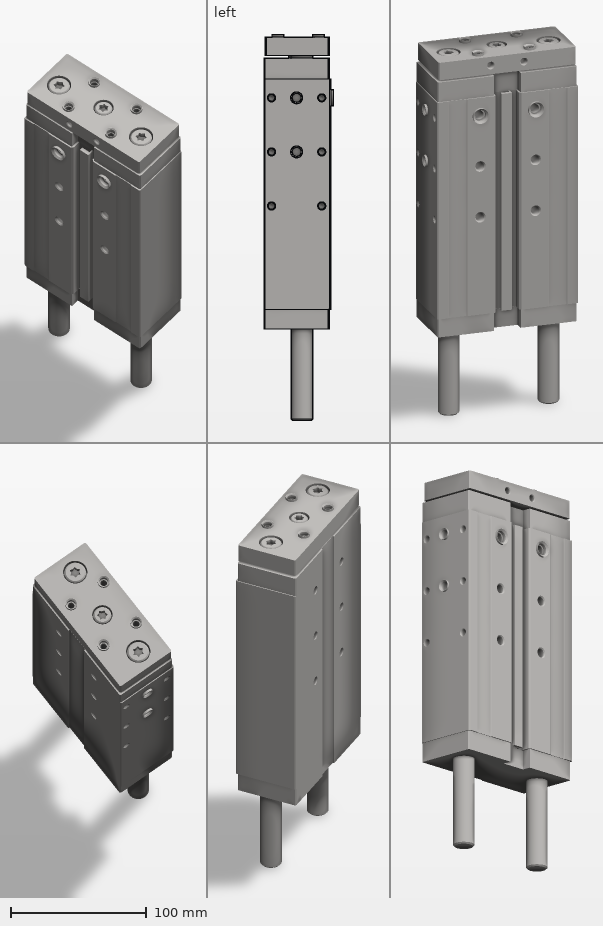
import cadquery as cq
import math

rod_reach = 67.5
bottom_cap_height = 14.5
profile_height = 170.0
top_cap_height = 15.5
yoke_gap = 1.7
yoke_height = 13.7
sleeve_rise = 2.0
port_sleeve_rise = 1.7
profile_bottom = rod_reach + bottom_cap_height
profile_top = profile_bottom + profile_height
housing_top = profile_top + top_cap_height
yoke_bottom = housing_top + yoke_gap
yoke_top = yoke_bottom + yoke_height

cap_width = 108.8
cap_depth = 48.0
housing_chamfer = 0.9
profile_width = 110.2
profile_front_rise = 1.0
cap_front = -cap_depth / 2
profile_front = cap_front - profile_front_rise
profile_side = profile_width / 2

cap_groove_width = 20.8
profile_groove_width = 18.2
cap_groove_depth = 6.8
profile_groove_depth = 7.5
front_groove_bevel = 1.5
back_groove_width = 19.0
back_groove_depth = 1.0
hook_left = -4.0
hook_width = 8.0
hook_setback = 1.5
hook_arm_thickness = 2.8
hook_neck_width = 1.0
rail_recess_center = 39.0
rail_recess_width = 15.0
rail_recess_depth = 0.5
rail_recess_bevel = 0.9

guide_rod_diameter = 16.0
guide_rod_spacing = 78.0
guide_rod_y = -4.0
guide_rod_chamfer = 1.0
piston_rod_diameter = 12.0
piston_rod_insertion = 85.5

yoke_width = 107.0
yoke_depth = 47.3
yoke_chamfer = 0.9
guide_counterbore_diameter = 18.0
guide_screw_head_diameter = 16.0
guide_socket_radius = 4.3
piston_counterbore_diameter = 15.0
piston_screw_head_diameter = 13.0
piston_socket_radius = 4.0
counterbore_depth = 8.5
screw_head_height = 8.3
screw_head_chamfer = 1.0
socket_depth = 4.0
socket_tips = 6
guide_tip_angle = 90
piston_tip_angle = 0
socket_valley_ratio = 0.7
yoke_sleeve_spacing_x = 40.2
yoke_sleeve_spacing_y = 30.0
yoke_sleeve_center_y = -1.0

small_sleeve_outer = 8.8
small_sleeve_inner = 6.5
large_sleeve_outer = 12.0
large_sleeve_inner = 8.8
sleeve_rim = 0.15
sleeve_seat = 2.0

row_pitch = 40.0
first_row_z = 238.0
row_heights = [first_row_z - i * row_pitch for i in range(3)]
front_hole_spacing = 43.3
front_hole_diameter = 6.5
front_countersink_diameter = 8.3
side_hole_spacing = 37.0
tapped_hole_diameter = 4.8
tapped_mouth_diameter = 6.0
tapped_hole_depth = 7.0
yoke_front_hole_spacing = 26.0
port_depth = 2.8
countersink_angle = 90
drill_point_angle = 118

guide_rod_points = [(side * guide_rod_spacing / 2, guide_rod_y) for side in (-1, 1)]
yoke_front = cap_front
yoke_center_y = yoke_front + yoke_depth / 2


def rod(point, diameter, bottom, top):
    """Upright cylinder between two heights."""
    plan = cq.Workplane("XY", origin=(0, 0, bottom)).center(*point)
    return plan.circle(diameter / 2).extrude(top - bottom)


def front_plane(y):
    """Plane facing -Y, with local coordinates X and Z."""
    return cq.Workplane("XZ", origin=(0, y, 0))


def side_plane(x):
    """Plane facing -X, with local coordinates -Y and Z."""
    return cq.Workplane(cq.Plane(origin=(x, 0, 0), xDir=(0, -1, 0), normal=(-1, 0, 0)))


def groove(points):
    """Prism of an XY outline along the extruded profile."""
    return cq.Workplane("XY", origin=(0, 0, profile_bottom)).polyline(points).close().extrude(profile_height)


def make_sleeve(plane, point, outer, inner, rise):
    """Ring from its seat below the plane to its rise above it, with a chamfered mouth."""
    length = sleeve_seat + rise
    mouth_chamfer = (outer - inner) / 2 - sleeve_rim
    plan = plane.workplane(offset=-sleeve_seat).center(*point)
    sleeve = plan.circle(outer / 2).circle(inner / 2).extrude(length)
    mouth = (
        plan.workplane(offset=length - mouth_chamfer)
        .circle(inner / 2)
        .workplane(offset=mouth_chamfer)
        .circle(inner / 2 + mouth_chamfer)
        .loft()
    )
    return sleeve.cut(mouth)


def tapped_hole(plane, point):
    """Cutter for a blind hole with a chamfered mouth and a pointed end."""
    radius = tapped_hole_diameter / 2
    mouth_radius = tapped_mouth_diameter / 2
    outline = (
        cq.Workplane("XZ")
        .lineTo(mouth_radius, 0)
        .lineTo(radius, radius - mouth_radius)
        .lineTo(radius, -tapped_hole_depth)
        .lineTo(0, -tapped_hole_depth - radius / math.tan(math.radians(drill_point_angle / 2)))
        .close()
    )
    cutter = outline.revolve(360, (0, 0, 0), (0, 1, 0)).val()
    return cutter.moved(plane.center(*point).plane.location)


def make_cap(bottom, height):
    cap = cq.Workplane("XY", origin=(0, 0, bottom)).rect(cap_width, cap_depth).extrude(height)
    return cap.edges("|Z").chamfer(housing_chamfer)


def make_profile():
    """Extruded middle of the housing, with recesses between the front rails."""
    y_center = (profile_front - cap_front) / 2
    profile = (
        cq.Workplane("XY", origin=(0, y_center, profile_bottom))
        .rect(profile_width, cap_depth + profile_front_rise)
        .extrude(profile_height)
        .edges("|Z")
        .chamfer(housing_chamfer)
    )
    half = rail_recess_width / 2
    recess_floor = profile_front + rail_recess_depth
    for center in (-rail_recess_center, rail_recess_center):
        profile = profile.cut(groove([
            (center - half, profile_front),
            (center - half + rail_recess_bevel, recess_floor),
            (center + half - rail_recess_bevel, recess_floor),
            (center + half, profile_front),
        ]))
    return profile


def make_housing():
    housing = make_profile()
    housing = housing.union(make_cap(rod_reach, bottom_cap_height))
    housing = housing.union(make_cap(profile_top, top_cap_height))

    cap_floor = cap_front + cap_groove_depth
    profile_floor = cap_front + profile_groove_depth
    cap_half = cap_groove_width / 2
    profile_half = profile_groove_width / 2
    for bottom, top, half, floor_y in (
        (rod_reach, profile_bottom, cap_half, cap_floor),
        (profile_bottom, profile_top, profile_half, profile_floor),
        (profile_top, housing_top, cap_half, cap_floor),
    ):
        housing = housing.cut(
            cq.Workplane("XY", origin=(0, 0, bottom))
            .moveTo(-half, floor_y).lineTo(half, floor_y)
            .lineTo(half, profile_front).lineTo(-half, profile_front).close().extrude(top - bottom)
        )
    housing = housing.cut(
        cq.Workplane("XY", origin=(0, -cap_front, rod_reach))
        .rect(back_groove_width, 2 * back_groove_depth).extrude(housing_top - rod_reach)
    )

    for side in (-1, 1):
        housing = housing.cut(groove([
            (side * profile_half, profile_front),
            (side * (profile_half + front_groove_bevel), profile_front),
            (side * profile_half, profile_front + front_groove_bevel),
        ]))

    hook_right = hook_left + hook_width
    hook_front = cap_front + hook_setback
    housing = housing.union(groove([
        (hook_right, profile_floor),
        (hook_right, hook_front),
        (hook_left, hook_front),
        (hook_left, hook_front + hook_arm_thickness),
        (hook_right - hook_neck_width, hook_front + hook_arm_thickness),
        (hook_right - hook_neck_width, profile_floor),
    ]))

    for point in guide_rod_points:
        housing = housing.cut(rod(point, guide_rod_diameter, rod_reach, housing_top))
    piston_bottom = housing_top - piston_rod_insertion
    housing = housing.cut(rod((0, 0), piston_rod_diameter, piston_bottom, housing_top))

    housing_depth = cap_depth + profile_front_rise
    half = front_hole_spacing / 2
    for x in (-half, half):
        top_row = front_plane(profile_front).center(x, first_row_z)
        housing = housing.cut(top_row.circle(front_hole_diameter / 2).extrude(-housing_depth))
        housing = housing.cut(top_row.circle(large_sleeve_outer / 2).extrude(-sleeve_seat))
    lower = [(x, z) for x in (-half, half) for z in row_heights[1:]]
    housing = (
        housing.copyWorkplane(front_plane(profile_front)).pushPoints(lower)
        .cskHole(front_hole_diameter, front_countersink_diameter, countersink_angle)
    )

    half = side_hole_spacing / 2
    side_face = side_plane(-profile_side)
    for y in (-half, half):
        for z in row_heights:
            housing = housing.cut(cq.Workplane(tapped_hole(side_face, (y, z))))
    for point in port_points:
        port = side_face.center(*point)
        housing = housing.cut(port.circle(small_sleeve_outer / 2).extrude(-sleeve_seat))
        housing = housing.cut(port.circle(small_sleeve_inner / 2).extrude(-sleeve_seat - port_depth))
    return housing


def fit_screw(yoke, point, counterbore_diameter, head_diameter, socket_radius, tip_angle):
    """Counterbore with a screw head standing in it, driven by a six-pointed socket."""
    floor = yoke_top - counterbore_depth
    head_top = floor + screw_head_height
    yoke = yoke.cut(rod(point, counterbore_diameter, floor, yoke_top))
    yoke = yoke.union(rod(point, head_diameter, floor, head_top).faces(">Z").chamfer(screw_head_chamfer))
    star = []
    for i in range(2 * socket_tips):
        radius = socket_radius if i % 2 == 0 else socket_valley_ratio * socket_radius
        angle = math.radians(tip_angle) + i * math.pi / socket_tips
        star.append((radius * math.cos(angle), radius * math.sin(angle)))
    socket = cq.Workplane("XY", origin=(*point, head_top)).polyline(star).close().extrude(-socket_depth)
    return yoke.cut(socket)


def make_yoke():
    """Moving plate, with its guide rods, piston rod and screws."""
    yoke = (
        cq.Workplane("XY", origin=(0, yoke_center_y, yoke_bottom))
        .rect(yoke_width, yoke_depth)
        .extrude(yoke_height)
        .edges("|Z")
        .chamfer(yoke_chamfer)
    )
    for point in guide_rod_points:
        guide_rod = rod(point, guide_rod_diameter, 0, yoke_bottom).faces("<Z").chamfer(guide_rod_chamfer)
        yoke = yoke.union(guide_rod)
        yoke = fit_screw(
            yoke, point, guide_counterbore_diameter, guide_screw_head_diameter,
            guide_socket_radius, guide_tip_angle,
        )
    yoke = yoke.union(rod((0, 0), piston_rod_diameter, housing_top - piston_rod_insertion, yoke_bottom))
    yoke = fit_screw(
        yoke, (0, 0), piston_counterbore_diameter, piston_screw_head_diameter,
        piston_socket_radius, piston_tip_angle,
    )

    for point in yoke_sleeve_points:
        yoke = yoke.cut(rod(point, small_sleeve_outer, yoke_top - sleeve_seat, yoke_top))
        yoke = yoke.cut(rod(point, tapped_hole_diameter, yoke_bottom, yoke_top))

    front_hole_z = yoke_bottom + yoke_height / 2
    half = yoke_front_hole_spacing / 2
    for x in (-half, half):
        yoke = yoke.cut(cq.Workplane(tapped_hole(front_plane(yoke_front), (x, front_hole_z))))
    return yoke


yoke_sleeve_points = [
    (side * yoke_sleeve_spacing_x / 2, yoke_sleeve_center_y + end * yoke_sleeve_spacing_y / 2)
    for side in (-1, 1)
    for end in (-1, 1)
]
front_sleeve_points = [(side * front_hole_spacing / 2, first_row_z) for side in (-1, 1)]
port_points = [(0, z) for z in row_heights[:2]]

housing = make_housing()
yoke = make_yoke()
top_face = cq.Workplane("XY", origin=(0, 0, yoke_top))
side_face = side_plane(-profile_side)
front_face = front_plane(profile_front)
small_size = (small_sleeve_outer, small_sleeve_inner)
large_size = (large_sleeve_outer, large_sleeve_inner)
yoke_sleeves = [make_sleeve(top_face, point, *small_size, sleeve_rise) for point in yoke_sleeve_points]
port_sleeves = [make_sleeve(side_face, point, *small_size, port_sleeve_rise) for point in port_points]
front_sleeves = [make_sleeve(front_face, point, *large_size, sleeve_rise) for point in front_sleeve_points]
sleeves = yoke_sleeves + port_sleeves + front_sleeves

result = cq.Compound.makeCompound([housing.val(), yoke.val(), *[sleeve.val() for sleeve in sleeves]])